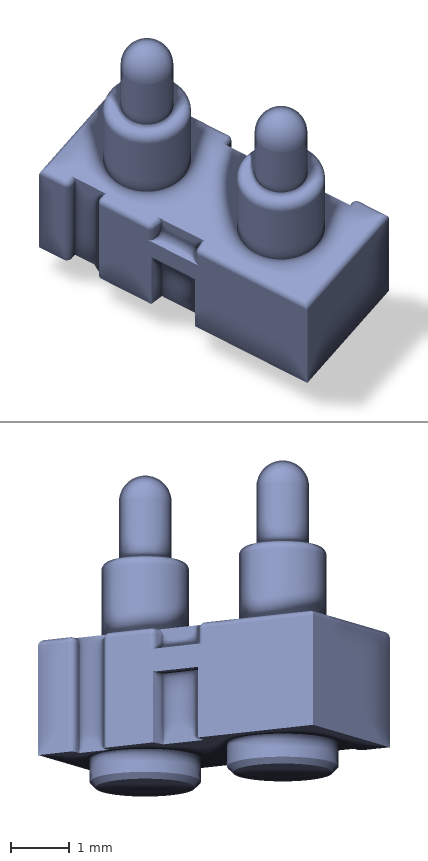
import cadquery as cq
import math

LENGTH = 5.5
WIDTH = 2.5
HEIGHT = 2.0
EDGE_ROUND = 0.1
HALF_WIDTH = WIDTH / 2

SLOT_WIDTH = 0.58
SLOT_DEPTH = 0.2
FRONT_SLOT_X = -1.86
BACK_SLOT_X = 1.76

RECESS_DEPTH = 0.25
RECESS_MOUTH = 0.9
NOTCH_BACK_WIDTH = 0.82
NOTCH_HEIGHT = 0.375
NOTCH_FLOOR_ROUND = 0.1
GROOVE_BACK_WIDTH = 0.8
GROOVE_HEIGHT = 1.225

PIN_PITCH = 2.75
FLANGE_RADIUS = 0.95
FLANGE_HEIGHT = 0.5
FLANGE_CHAMFER = 0.1
BARREL_RADIUS = 0.75
BARREL_TOP = HEIGHT + 1.4
BARREL_ROUND = 0.15
PLUNGER_RADIUS = 0.45
PLUNGER_LENGTH = 1.05
DOME_START = BARREL_TOP + PLUNGER_LENGTH
DOME_TIP = DOME_START + PLUNGER_RADIUS

PIN_POSITIONS = [(-PIN_PITCH / 2, 0), (PIN_PITCH / 2, 0)]
TOLERANCE = 0.001


def side_slot(x, side):
    """Cutter for a full-height slot in the long side at Y = side * HALF_WIDTH."""
    return (
        cq.Workplane("XY")
        .center(x, side * HALF_WIDTH)
        .rect(SLOT_WIDTH, 2 * SLOT_DEPTH)
        .extrude(HEIGHT)
    )


def tapered_recess(side, back_width, bottom, height):
    """Cutter for a recess in a long side that narrows toward its back wall."""
    face_y = side * HALF_WIDTH
    back_y = side * (HALF_WIDTH - RECESS_DEPTH)
    return (
        cq.Workplane("XY", origin=(0, 0, bottom))
        .moveTo(-RECESS_MOUTH / 2, face_y)
        .lineTo(-back_width / 2, back_y)
        .lineTo(back_width / 2, back_y)
        .lineTo(RECESS_MOUTH / 2, face_y)
        .close()
        .extrude(height)
    )


def top_notch(side):
    """Notch cutter with a round along the inner edge of its floor."""
    floor_z = HEIGHT - NOTCH_HEIGHT
    inner_edge = "<Y" if side > 0 else ">Y"
    return (
        tapered_recess(side, NOTCH_BACK_WIDTH, floor_z, NOTCH_HEIGHT)
        .faces("<Z")
        .edges(inner_edge)
        .fillet(NOTCH_FLOOR_ROUND)
    )


def bottom_groove(side):
    return tapered_recess(side, GROOVE_BACK_WIDTH, 0, GROOVE_HEIGHT)


def is_rounded(edge):
    """True for the top rim and for the upright mouth corners of slots and notches.

    The back walls of slots and notches, which run along X inside the block, stay sharp.
    """
    middle = edge.Center()
    box = edge.BoundingBox()
    on_long_side = abs(abs(middle.y) - HALF_WIDTH) < TOLERANCE
    on_end = abs(abs(middle.x) - LENGTH / 2) < TOLERANCE
    reaches_top = abs(box.zmax - HEIGHT) < TOLERANCE
    level = box.zlen < TOLERANCE
    along_x = level and box.ylen < TOLERANCE
    upright = max(box.xlen, box.ylen) < TOLERANCE
    mouth_corner = upright and on_long_side and not on_end
    top_rim = level and (on_long_side or not along_x)
    return reaches_top and (mouth_corner or top_rim)


def make_housing():
    body = cq.Workplane("XY").box(LENGTH, WIDTH, HEIGHT, centered=(True, True, False))
    body = body.cut(side_slot(FRONT_SLOT_X, -1)).cut(side_slot(BACK_SLOT_X, 1))
    for side in (-1, 1):
        body = body.cut(top_notch(side)).cut(bottom_groove(side))

    rounded = [edge for edge in body.edges().vals() if is_rounded(edge)]
    body = body.newObject(rounded).fillet(EDGE_ROUND)

    pin_holes = cq.Workplane("XY").pushPoints(PIN_POSITIONS).circle(BARREL_RADIUS).extrude(HEIGHT)
    return body.cut(pin_holes)


def arc_middle(center_x, center_z, radius):
    """Point halfway along the outer upper quarter of a circle."""
    offset = radius * math.sqrt(0.5)
    return (center_x + offset, center_z + offset)


def make_pin(x, y):
    """Pin revolved from its half profile: flange, barrel and round-tipped plunger."""
    shoulder_radius = BARREL_RADIUS - BARREL_ROUND
    shoulder_start = BARREL_TOP - BARREL_ROUND
    return (
        cq.Workplane("XZ")
        .moveTo(0, -FLANGE_HEIGHT)
        .lineTo(FLANGE_RADIUS - FLANGE_CHAMFER, -FLANGE_HEIGHT)
        .lineTo(FLANGE_RADIUS, FLANGE_CHAMFER - FLANGE_HEIGHT)
        .lineTo(FLANGE_RADIUS, 0)
        .lineTo(BARREL_RADIUS, 0)
        .lineTo(BARREL_RADIUS, shoulder_start)
        .threePointArc(
            arc_middle(shoulder_radius, shoulder_start, BARREL_ROUND),
            (shoulder_radius, BARREL_TOP),
        )
        .lineTo(PLUNGER_RADIUS, BARREL_TOP)
        .lineTo(PLUNGER_RADIUS, DOME_START)
        .threePointArc(arc_middle(0, DOME_START, PLUNGER_RADIUS), (0, DOME_TIP))
        .close()
        .revolve(360, (0, 0, 0), (0, 1, 0))
        .translate((x, y, 0))
    )


housing = make_housing()
pins = [make_pin(x, y) for x, y in PIN_POSITIONS]

result = cq.Compound.makeCompound([housing.val(), *[pin.val() for pin in pins]])